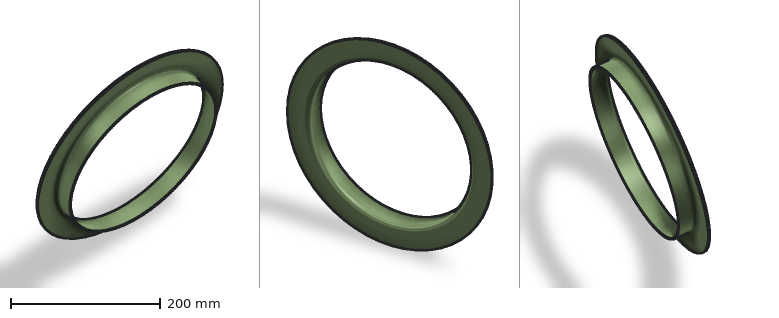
import cadquery as cq

flange_diameter = 320.0
flange_thickness = 3.0
collar_outer_diameter = 255.0
bore_diameter = 250.0
total_length = 30.0
inner_bend_radius = 7.0
outer_bend_radius = 5.0

flange_radius = flange_diameter / 2
collar_outer_radius = collar_outer_diameter / 2
bore_radius = bore_diameter / 2
outer_bend_end = flange_thickness + outer_bend_radius


def flanged_collar():
    """Flat ring whose inner edge bends into a cylindrical collar along +X."""
    section = (
        cq.Workplane("XY")
        .moveTo(0, flange_radius)
        .lineTo(0, bore_radius + inner_bend_radius)
        .radiusArc((inner_bend_radius, bore_radius), -inner_bend_radius)
        .lineTo(total_length, bore_radius)
        .lineTo(total_length, collar_outer_radius)
        .lineTo(outer_bend_end, collar_outer_radius)
        .radiusArc((flange_thickness, collar_outer_radius + outer_bend_radius), outer_bend_radius)
        .lineTo(flange_thickness, flange_radius)
        .close()
    )
    return section.revolve(360, (0, 0, 0), (1, 0, 0))


result = flanged_collar()